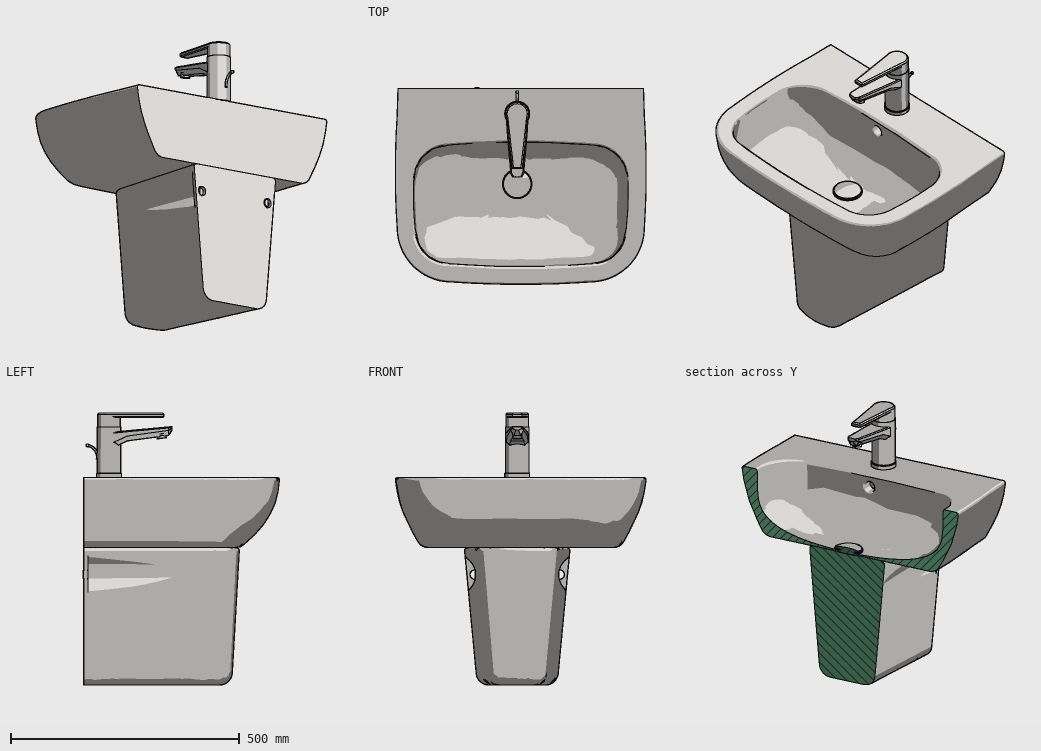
import cadquery as cq
import math


total_height = 595.0
deck_z = 454.0
basin_bottom_z = 300.5
fittings_x = -8.0
tap_y = -55.5
drain_y = -209.0
diagonal = math.sqrt(0.5)
clearance = 0.5

shell_sections = [
    (basin_bottom_z, 218.0, 346.0, 275.0),
    (313.5, 225.5, 357.5, 281.0),
    (342.0, 241.0, 387.0, 293.0),
    (370.5, 254.5, 406.5, 301.0),
    (398.5, 265.0, 419.5, 304.5),
    (426.5, 271.5, 426.0, 305.0),
    (deck_z, 275.5, 431.0, 304.0),
]
shell_back_seam_y = 59.5
shell_bulge_y = 178.5
shell_side_crown = 4.0
shell_back_narrowing = 6.0
shell_front_crown = 5.5
shell_seam_x = 151.0
shell_top_round = 6.0
shell_bottom_round = 27.0

bowl_floor_z = 304.5
bowl_size_power = 2.2
bowl_depth_power = 4.7
bowl_section_count = 16
bowl_last_angle = 87.0
bowl_half_width = 234.5
bowl_back = 117.0
bowl_front = 390.0
bowl_back_corner_x = 160.5
bowl_front_corner_x = 157.0
bowl_side_back_y = 202.5
bowl_side_front_y = 311.0
bowl_crown = 6.5
bowl_side_taper = 4.0
bowl_back_spread = 77.5
bowl_front_spread = 41.5
bowl_rim_round = 6.0
overflow_diameter = 25.0
overflow_z = 423.5
overflow_depth = 24.0
overflow_lip = 3.0

pedestal_back_half = (87.5, 116.0)
pedestal_side_half = (62.0, 89.0)
pedestal_front_half = (41.5, 60.0)
pedestal_side_y = (291.0, 285.0)
pedestal_corner_y = (317.0, 327.0)
pedestal_front_y = (323.5, 341.0)
pedestal_corner_bulge = 0.29
pedestal_bottom_round = 28.0
pedestal_top_round = 7.0
recess_radius = 44.0
recess_inner_x = 91.0
recess_z = 241.0
recess_wall = 9.0
recess_lip = 7.0
fixing_hole_diameter = 20.0
fixing_hole_x = 93.0
fixing_hole_z = 241.5
nub_radius = 9.0
nub_height = 2.0

base_ring_diameter = 55.0
base_ring_height = 10.0
base_ring_edge = 2.0
tap_diameter = 52.0
tap_top_z = 564.5
cap_diameter = 50.0
lever_thickness = 10.0
lever_tip_reach = -120.0
lever_root_half = 24.5
lever_tip_half = 11.0
lever_top_edge = 3.0
lever_under_edge = 2.5

spout_sections = [
    (56.5, 552.0, 526.5, 515.0, 24.5),
    (95.0, 556.5, 544.5, 534.0, 22.0),
    (185.5, 564.5, 557.0, 545.5, 14.0),
    (193.5, 565.0, 561.0, 557.5, 10.0),
]
spout_under_slope = 7.0
spout_top_edge = 2.5

aerator_diameter = 20.0
aerator_y = 170.0
aerator_drop = 4.0
aerator_seat = 6.0

rod_diameter = 5.0
rod_knob_diameter = 6.5
rod_start = (-30.0, 494.0)
rod_bend = (-25.0, 514.0)
rod_end = (-8.5, 524.0)

plug_diameter = 60.0
plug_edge_z = 312.0
plug_edge_height = 3.0
plug_dome_height = 3.5
plug_stem_diameter = 35.0
drain_ring_diameter = 44.0
drain_flange_diameter = 64.0
drain_flange_height = 2.5


def shell_outline(z, half, front, seam_y):
    """Closed basin outline: straight wall side, crowned sides and front, round front corners."""
    side_x = half - shell_side_crown
    front_seam_y = front - shell_front_crown
    corner_x = shell_seam_x + diagonal * (side_x - shell_seam_x)
    corner_y = seam_y + diagonal * (front_seam_y - seam_y)
    return (
        cq.Workplane("XY", origin=(0, 0, z))
        .moveTo(half - shell_back_narrowing, 0)
        .lineTo(shell_back_narrowing - half, 0)
        .lineTo(-side_x, -shell_back_seam_y)
        .threePointArc((-half, -shell_bulge_y), (-side_x, -seam_y))
        .threePointArc((-corner_x, -corner_y), (-shell_seam_x, -front_seam_y))
        .threePointArc((0, -front), (shell_seam_x, -front_seam_y))
        .threePointArc((corner_x, -corner_y), (side_x, -seam_y))
        .threePointArc((half, -shell_bulge_y), (side_x, -shell_back_seam_y))
        .close()
        .val()
    )


def bowl_outline(angle):
    """Bowl outline on one station of the superellipse: the rim at 0 degrees, the drain near 90."""
    depth = math.sin(math.radians(angle))
    size = (1 - depth**bowl_depth_power) ** (1 / bowl_size_power)
    z = deck_z - (deck_z - bowl_floor_z) * depth
    side_back_y = bowl_side_back_y - bowl_back_spread * (1 - size)
    side_front_y = bowl_side_front_y + bowl_front_spread * (1 - size)

    def place(x, y):
        return (fittings_x + size * (x - fittings_x), drain_y + size * (-y - drain_y))

    def corner(sign, y, side_x, seam_x, seam_y):
        middle_x = seam_x + diagonal * (side_x - seam_x)
        middle_y = y + diagonal * (seam_y - y)
        return place(sign * middle_x, middle_y)

    back_seam = bowl_back + bowl_crown
    front_seam = bowl_front - bowl_crown
    front_half = bowl_half_width - bowl_side_taper
    side_middle_y = (side_back_y + side_front_y) / 2

    def back_corner(sign):
        return corner(sign, side_back_y, bowl_half_width, bowl_back_corner_x, back_seam)

    def front_corner(sign):
        return corner(sign, side_front_y, front_half, bowl_front_corner_x, front_seam)

    return (
        cq.Workplane("XY", origin=(0, 0, z))
        .moveTo(*place(bowl_back_corner_x, back_seam))
        .threePointArc(place(0, bowl_back), place(-bowl_back_corner_x, back_seam))
        .threePointArc(back_corner(-1), place(-bowl_half_width, side_back_y))
        .threePointArc(place(-bowl_half_width, side_middle_y), place(-front_half, side_front_y))
        .threePointArc(front_corner(-1), place(-bowl_front_corner_x, front_seam))
        .threePointArc(place(0, bowl_front), place(bowl_front_corner_x, front_seam))
        .threePointArc(front_corner(1), place(front_half, side_front_y))
        .threePointArc(place(bowl_half_width, side_middle_y), place(bowl_half_width, side_back_y))
        .threePointArc(back_corner(1), place(bowl_back_corner_x, back_seam))
        .close()
        .val()
    )


def away_from_wall(edges):
    """Keep the edges that do not lie in the wall plane."""
    return [edge for edge in edges if edge.Center().y < -clearance]


def make_basin(drain_body):
    """Lofted shell with the bowl, the overflow and the seat of the drain ring taken out."""
    outer = cq.Solid.makeLoft([shell_outline(*section) for section in shell_sections])
    outer = outer.fillet(shell_top_round, away_from_wall(outer.faces(">Z").Edges()))
    outer = outer.fillet(shell_bottom_round, away_from_wall(outer.faces("<Z").Edges()))
    bowl = cq.Solid.makeLoft(
        [bowl_outline(bowl_last_angle * i / (bowl_section_count - 1)) for i in range(bowl_section_count)]
    )
    basin = cq.Workplane(outer).cut(cq.Workplane(bowl))
    rim = basin.faces(">Z").val().innerWires()[0]
    basin = cq.Workplane(basin.val().fillet(bowl_rim_round, rim.Edges()))

    overflow = (
        cq.Workplane("XZ", origin=(fittings_x, -bowl_back + overflow_depth, overflow_z))
        .circle(overflow_diameter / 2)
        .extrude(2 * overflow_depth)
    )
    basin = basin.cut(overflow)
    mouth = basin.edges(
        cq.selectors.BoxSelector(
            (fittings_x - overflow_diameter, -bowl_back - overflow_depth, overflow_z - overflow_diameter),
            (fittings_x + overflow_diameter, -bowl_back, overflow_z + overflow_diameter),
        )
    )
    return mouth.fillet(overflow_lip).cut(drain_body)


def pedestal_outline(level):
    """Pedestal outline at the bottom (level 0) or at the top (level 1)."""
    back = pedestal_back_half[level]
    side = pedestal_side_half[level]
    front = pedestal_front_half[level]
    side_y = pedestal_side_y[level]
    corner_y = pedestal_corner_y[level]
    middle_x = (side + front + pedestal_corner_bulge * (corner_y - side_y)) / 2
    middle_y = (side_y + corner_y + pedestal_corner_bulge * (side - front)) / 2
    return (
        cq.Workplane("XY", origin=(fittings_x, 0, level * basin_bottom_z))
        .moveTo(back, 0)
        .lineTo(-back, 0)
        .lineTo(-side, -side_y)
        .threePointArc((-middle_x, -middle_y), (-front, -corner_y))
        .threePointArc((0, -pedestal_front_y[level]), (front, -corner_y))
        .threePointArc((middle_x, -middle_y), (side, -side_y))
        .close()
        .val()
    )


def make_pedestal():
    """Tapered column with a scooped recess and a fixing hole on each side."""
    solid = cq.Solid.makeLoft([pedestal_outline(0), pedestal_outline(1)], True)
    solid = solid.fillet(pedestal_bottom_round, away_from_wall(solid.faces("<Z").Edges()))
    solid = solid.fillet(pedestal_top_round, away_from_wall(solid.faces(">Z").Edges()))
    pedestal = cq.Workplane(solid)

    for side in (-1, 1):
        recess_x = fittings_x + side * (recess_inner_x + recess_radius)
        recess = (
            cq.Workplane("XZ", origin=(recess_x, -recess_wall, recess_z))
            .circle(recess_radius)
            .extrude(pedestal_side_y[0] - recess_wall)
        )
        fixing_hole = (
            cq.Workplane("XZ", origin=(fittings_x + side * fixing_hole_x, 0, fixing_hole_z))
            .circle(fixing_hole_diameter / 2)
            .extrude(recess_wall)
        )
        pedestal = pedestal.cut(recess)
        lip_x = recess_x - side * (recess_radius + clearance)
        lip = pedestal.edges(
            cq.selectors.BoxSelector(
                (lip_x, -recess_wall - clearance, recess_z - recess_radius),
                (recess_x, -pedestal_side_y[0], recess_z + recess_radius),
            )
        )
        pedestal = lip.fillet(recess_lip).cut(fixing_hole)

    nub = (
        cq.Workplane("XZ", origin=(fittings_x - fixing_hole_x, nub_height, fixing_hole_z))
        .moveTo(0, -nub_radius)
        .threePointArc((nub_radius, 0), (0, nub_radius))
        .close()
        .extrude(nub_height + recess_wall)
    )
    return pedestal.union(nub)


def tap_plane(z):
    return cq.Workplane("XY", origin=(fittings_x, tap_y, z))


def make_base_ring():
    """Ring between the basin deck and the tap, bevelled on top."""
    ring = tap_plane(deck_z).circle(base_ring_diameter / 2).extrude(base_ring_height)
    return ring.faces(">Z").edges().chamfer(base_ring_edge)


def spout_outline(y, top, side_bottom, bottom, half):
    """Eight-sided section of the spout, with bevelled upper and lower edges."""
    top_half = half - spout_top_edge
    bottom_half = half - spout_under_slope
    right = [
        (top_half, top),
        (half, top - spout_top_edge),
        (half, side_bottom),
        (bottom_half, bottom),
    ]
    left = [(-x, z) for x, z in reversed(right)]
    return cq.Workplane("XZ", origin=(fittings_x, -y, 0)).polyline(right + left).close().val()


def make_aerator():
    """Short cylinder set square into the sloping underside of the spout."""
    knee, nose = spout_sections[1:3]
    slope = (nose[3] - knee[3]) / (nose[0] - knee[0])
    under_z = knee[3] + slope * (aerator_y - knee[0])
    axis = cq.Vector(0, -slope, -1)
    plane = cq.Plane(origin=(fittings_x, -aerator_y, under_z), xDir=(1, 0, 0), normal=axis.toTuple())
    return (
        cq.Workplane(plane)
        .workplane(offset=-aerator_seat)
        .circle(aerator_diameter / 2)
        .extrude(aerator_seat + aerator_drop)
    )


def make_pull_rod():
    """Bent pop-up rod behind the tap, with a ball on its end."""
    rod_plane = cq.Workplane("YZ", origin=(fittings_x, 0, 0))
    path = rod_plane.moveTo(*rod_start).threePointArc(rod_bend, rod_end)
    direction = path.val().tangentAt(0).toTuple()
    start = cq.Plane(origin=(fittings_x, *rod_start), xDir=(1, 0, 0), normal=direction)
    rod = cq.Workplane(start).circle(rod_diameter / 2).sweep(path)
    knob = cq.Workplane("XY", origin=(fittings_x, *rod_end)).sphere(rod_knob_diameter / 2)
    return rod.union(knob)


def make_tap(aerator, pull_rod):
    """Column and spout, with the seats of the aerator and the pull rod taken out."""
    column_z = deck_z + base_ring_height
    column = tap_plane(column_z).circle(tap_diameter / 2).extrude(tap_top_z - column_z)
    spout = cq.Solid.makeLoft([spout_outline(*section) for section in spout_sections], True)
    return column.union(cq.Workplane(spout)).cut(aerator).cut(pull_rod)


def make_lever():
    """Round cap carrying a flat lever that narrows to its tip."""
    blade = (
        tap_plane(total_height - lever_thickness)
        .polyline([
            (lever_root_half, 0),
            (lever_tip_half, lever_tip_reach),
            (-lever_tip_half, lever_tip_reach),
            (-lever_root_half, 0),
        ])
        .close()
        .extrude(lever_thickness)
        .faces(">Z").edges().chamfer(lever_top_edge)
        .faces("<Z").edges().chamfer(lever_under_edge)
    )
    cap = tap_plane(tap_top_z).circle(cap_diameter / 2).extrude(total_height - tap_top_z)
    return cap.faces(">Z").edges().chamfer(lever_top_edge).union(blade)


def drain_cylinder(z, diameter, height):
    return cq.Workplane("XY", origin=(fittings_x, drain_y, z)).circle(diameter / 2).extrude(height)


def make_drain_body():
    """Solid drain collar with its flange, before it is bored for the plug."""
    flange_top_z = plug_edge_z - plug_edge_height
    collar = drain_cylinder(basin_bottom_z, drain_ring_diameter, flange_top_z - basin_bottom_z)
    flange = drain_cylinder(flange_top_z - drain_flange_height, drain_flange_diameter, drain_flange_height)
    return collar.union(flange)


def make_drain_ring(drain_body):
    """Flanged drain collar bored for the stem of the plug."""
    bore = drain_cylinder(basin_bottom_z, plug_stem_diameter, plug_edge_z - basin_bottom_z)
    return drain_body.cut(bore)


def make_plug():
    """Domed plug on a stem, revolved about the drain axis."""
    radius = plug_diameter / 2
    under_z = plug_edge_z - plug_edge_height
    dome_radius = (radius**2 + plug_dome_height**2) / (2 * plug_dome_height)
    top_z = plug_edge_z + plug_dome_height
    middle_z = top_z - dome_radius + math.sqrt(dome_radius**2 - (radius / 2) ** 2)
    return (
        cq.Workplane("XZ", origin=(fittings_x, drain_y, 0))
        .moveTo(0, basin_bottom_z)
        .lineTo(plug_stem_diameter / 2, basin_bottom_z)
        .lineTo(plug_stem_diameter / 2, under_z)
        .lineTo(radius, under_z)
        .lineTo(radius, plug_edge_z)
        .threePointArc((radius / 2, middle_z), (0, top_z))
        .close()
        .revolve(360, (0, 0, 0), (0, 1, 0))
    )


drain_body = make_drain_body()
basin = make_basin(drain_body)
pedestal = make_pedestal()
base_ring = make_base_ring()
aerator = make_aerator()
pull_rod = make_pull_rod()
tap = make_tap(aerator, pull_rod)
lever = make_lever()
drain_ring = make_drain_ring(drain_body)
plug = make_plug()

bodies = [basin, pedestal, base_ring, tap, lever, aerator, pull_rod, drain_ring, plug]
result = cq.Compound.makeCompound([body.solids().val() for body in bodies])